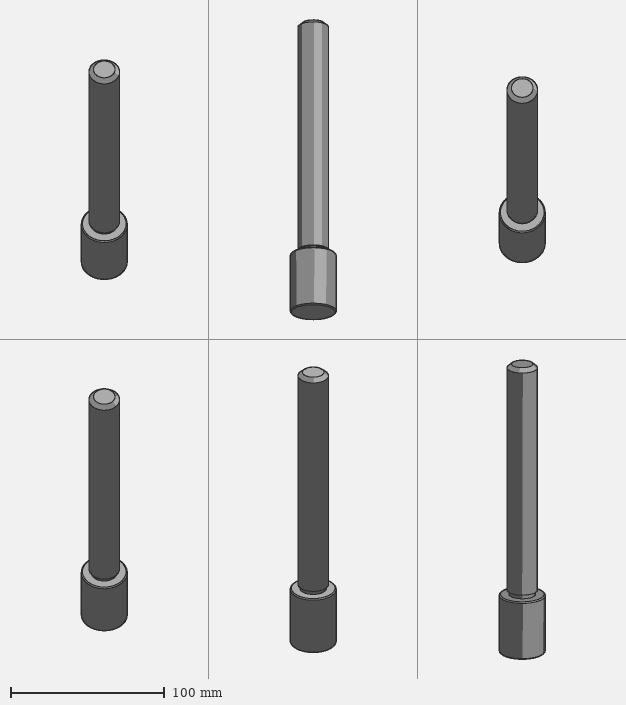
import cadquery as cq

total_length = 200.0
head_diameter = 30.0
head_length = 40.0
head_chamfer = 0.8
shaft_diameter = 20.0
neck_diameter = 17.2
neck_length = 3.0
tip_diameter = 14.0
tip_length = 2.5


def make_head():
    """Cylindrical head with a small chamfer on both rims."""
    head = cq.Workplane("XY").circle(head_diameter / 2).extrude(head_length)
    return head.faces("<Z or >Z").chamfer(head_chamfer)


def make_stem():
    """Undercut neck, plain shaft and tapered tip, revolved about Z."""
    shaft_start = head_length + neck_length
    taper_start = total_length - tip_length
    return (
        cq.Workplane("XZ")
        .lineTo(neck_diameter / 2, 0)
        .lineTo(neck_diameter / 2, shaft_start)
        .lineTo(shaft_diameter / 2, shaft_start)
        .lineTo(shaft_diameter / 2, taper_start)
        .lineTo(tip_diameter / 2, total_length)
        .lineTo(0, total_length)
        .close()
        .revolve(360, (0, 0, 0), (0, 1, 0))
    )


result = make_head().union(make_stem())